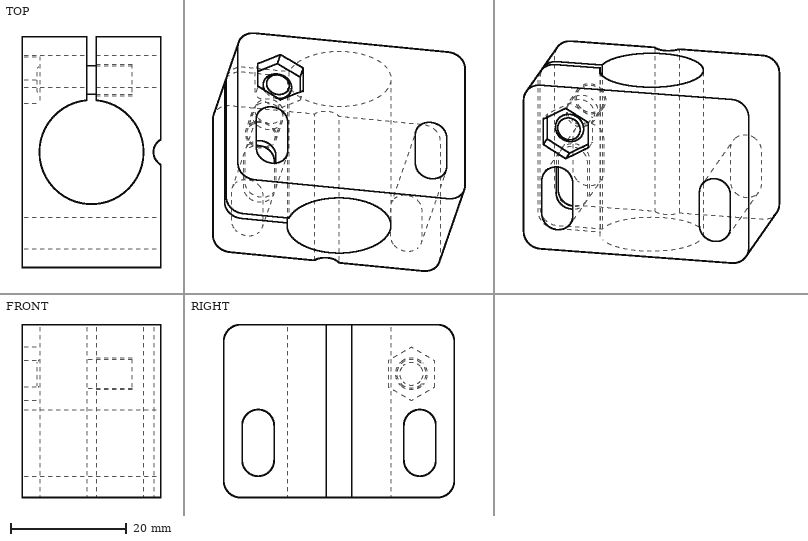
import cadquery as cq
import math

width = 24.0
length = 40.0
height = 30.0
corner_radius = 3.0

bore_diameter = 18.0
slit_width = 1.6

screw_y = 12.5
screw_z = 6.5
screw_diameter = 5.0
screw_chamfer = 0.5
screw_tip_depth = 2.5
clearance_diameter = 5.5
head_height = 5.0
nut_across_flats = 8.0
nut_pocket_depth = 3.0

slot_width = 5.5
slot_length = 11.5
slot_spacing = 28.0
slot_z = -5.5

groove_diameter = 5.0
groove_depth = 1.25


def make_block():
    block = cq.Workplane("XY").box(width, length, height)
    return block.edges("|X").fillet(corner_radius)


def make_bore_and_slit():
    bore = cq.Workplane("XY").circle(bore_diameter / 2).extrude(height, both=True)
    slit = cq.Workplane("XY").box(slit_width, length / 2, height, centered=(True, False, True))
    return bore.union(slit)


def make_mounting_slots():
    return (
        cq.Workplane("YZ")
        .pushPoints([(-slot_spacing / 2, slot_z), (slot_spacing / 2, slot_z)])
        .slot2D(slot_length, slot_width, 90)
        .extrude(width, both=True)
    )


def make_groove():
    axis_x = width / 2 - groove_depth + groove_diameter / 2
    return (
        cq.Workplane("XY")
        .center(axis_x, 0)
        .circle(groove_diameter / 2)
        .extrude(height, both=True)
    )


def make_nut_pocket():
    across_corners = nut_across_flats / math.cos(math.pi / 6)
    return (
        cq.Workplane("YZ", origin=(-width / 2, screw_y, screw_z))
        .transformed(rotate=(0, 0, 90))
        .polygon(6, across_corners)
        .extrude(nut_pocket_depth)
    )


def make_clearance_hole():
    """Clearance around the shank in the +X jaw, from the slit to the seat of the head."""
    slit_wall_x = slit_width / 2
    head_seat_x = width / 2 - head_height
    return (
        cq.Workplane("YZ", origin=(slit_wall_x, screw_y, screw_z))
        .circle(clearance_diameter / 2)
        .extrude(head_seat_x - slit_wall_x)
    )


def make_screw():
    """Screw from its chamfered tip in the nut pocket, across the slit, to the +X face."""
    tip_x = -width / 2 + screw_tip_depth
    return (
        cq.Workplane("YZ", origin=(tip_x, screw_y, screw_z))
        .circle(screw_diameter / 2)
        .extrude(width / 2 - tip_x)
        .faces("<X")
        .chamfer(screw_chamfer)
    )


result = (
    make_block()
    .cut(make_bore_and_slit())
    .cut(make_mounting_slots())
    .cut(make_groove())
    .cut(make_nut_pocket())
    .cut(make_clearance_hole())
    .union(make_screw())
)